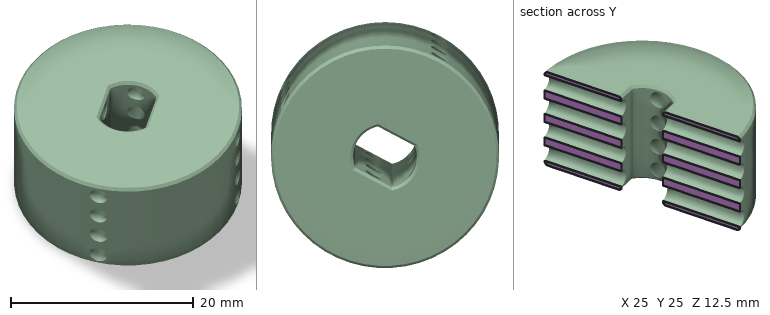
import cadquery as cq

outer_diameter = 25.0
height = 12.5
edge_chamfer = 0.3

bore_diameter = 7.0
bore_flat_width = 5.25
bore_chamfer = 0.3

cross_hole_diameter = 2.0
cross_hole_rows = 4
row_pitch = height / cross_hole_rows


def collar_body():
    """Solid disc centred on the origin with both rims chamfered."""
    disc = cq.Workplane("XY").circle(outer_diameter / 2).extrude(height / 2, both=True)
    return disc.edges("%CIRCLE").chamfer(edge_chamfer)


def double_d_bore():
    """Round bore through the full height, cut down to two parallel flats."""
    cylinder = cq.Workplane("XY").circle(bore_diameter / 2).extrude(height / 2, both=True)
    return cylinder.intersect(cq.Workplane("XY").box(bore_flat_width, bore_diameter, height))


def cross_holes(plane):
    """One column of through holes, drilled across the whole diameter normal to the plane."""
    middle_row = (cross_hole_rows - 1) / 2
    centres = [(0, (row - middle_row) * row_pitch) for row in range(cross_hole_rows)]
    column = cq.Workplane(plane).pushPoints(centres).circle(cross_hole_diameter / 2)
    return column.extrude(outer_diameter / 2, both=True)


bored_collar = collar_body().cut(double_d_bore())

for end_face in (">Z", "<Z"):
    mouth_edges = bored_collar.faces(end_face).val().innerWires()[0].Edges()
    bored_collar = bored_collar.newObject(mouth_edges).chamfer(bore_chamfer)

result = bored_collar
for drilling_plane in ("XZ", "YZ"):
    result = result.cut(cross_holes(drilling_plane))